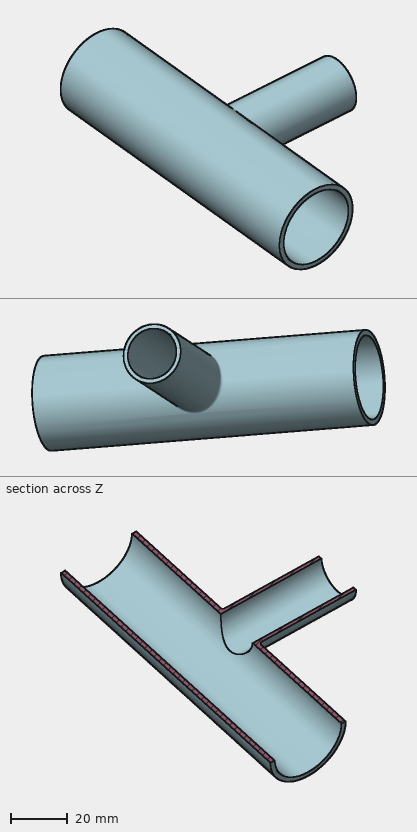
import cadquery as cq

run_length = 120.0
run_outer_diameter = 33.7
run_inner_diameter = 29.8

branch_outer_diameter = 21.4
branch_inner_diameter = 18.1
overall_depth = 76.8
branch_reach = overall_depth - run_outer_diameter / 2

junction_fillet = 1.0


def cylinder_along_x(diameter):
    """Full-length cylinder centred on the origin."""
    return cq.Workplane("YZ").circle(diameter / 2).extrude(run_length / 2, both=True)


def cylinder_along_y(diameter):
    """Cylinder from the run axis out to the branch end."""
    return cq.Workplane("XZ").circle(diameter / 2).extrude(-branch_reach)


def outer_body():
    """Solid tee with the saddle-shaped junction filleted."""
    tee = cylinder_along_x(run_outer_diameter).union(cylinder_along_y(branch_outer_diameter))
    half_width = branch_outer_diameter / 2
    inner_reach = run_outer_diameter / 4
    outer_reach = run_outer_diameter / 2 + junction_fillet
    junction = cq.selectors.BoxSelector(
        (-half_width, inner_reach, -half_width),
        (half_width, outer_reach, half_width),
    )
    return tee.edges(junction).fillet(junction_fillet)


result = (
    outer_body()
    .cut(cylinder_along_x(run_inner_diameter))
    .cut(cylinder_along_y(branch_inner_diameter))
)